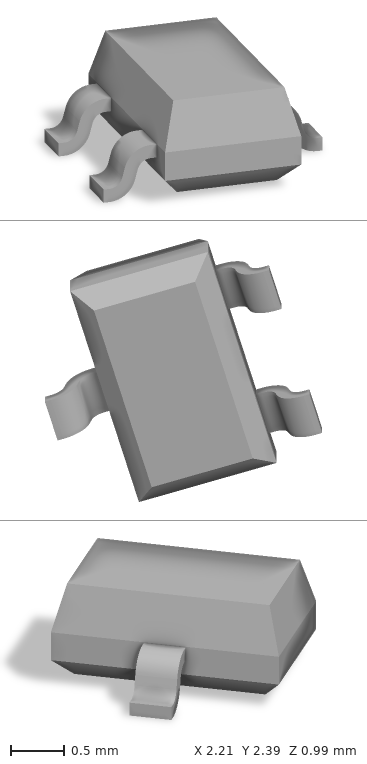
import cadquery as cq
import math

total_length = 2.39
total_height = 0.99

body_width = 2.21
body_depth = 1.348
body_bottom = 0.048
belt_bottom = 0.244
belt_top = 0.528
top_inset = 0.125
bottom_inset = 0.18

lead_width = 0.406
lead_thickness = 0.131
lead_top = 0.52
lead_spacing = 1.3
inner_radius = 0.131
outer_radius = inner_radius + lead_thickness
bend_angle = math.radians(75)
lead_reach = (total_length - body_depth) / 2

marker_diameter = 0.11
marker_depth = 0.025
marker_x = -lead_spacing / 2
marker_y = -0.392


def tapered_block(width_0, depth_0, z_0, width_1, depth_1, z_1):
    """Block lofted between two centred rectangles at heights z_0 and z_1."""
    return (
        cq.Workplane("XY")
        .workplane(offset=z_0)
        .rect(width_0, depth_0)
        .workplane(offset=z_1 - z_0)
        .rect(width_1, depth_1)
        .loft(ruled=True)
    )


def make_marker():
    return (
        cq.Workplane("XY")
        .workplane(offset=total_height - marker_depth)
        .center(marker_x, marker_y)
        .circle(marker_diameter / 2)
        .extrude(marker_depth)
    )


def make_housing(marker):
    """Housing with a straight belt, tapered top and bottom, and marker recess."""
    lower = tapered_block(
        body_width - 2 * bottom_inset, body_depth - 2 * bottom_inset, body_bottom,
        body_width, body_depth, belt_bottom,
    )
    belt = tapered_block(
        body_width, body_depth, belt_bottom,
        body_width, body_depth, belt_top,
    )
    upper = tapered_block(
        body_width, body_depth, belt_top,
        body_width - 2 * top_inset, body_depth - 2 * top_inset, total_height,
    )
    return lower.union(belt).union(upper).cut(marker)


def bend_point(center, radius, angle):
    """Point on a bend; the angle is measured from +Z towards the lead's toe."""
    return (
        center[0] + radius * math.sin(angle),
        center[1] + radius * math.cos(angle),
    )


def make_lead(x, toward):
    """S-shaped lead at x, leaving the -Y face (toward = -1) or the +Y face (+1)."""
    bend_sum = inner_radius + outer_radius
    drop = lead_top - lead_thickness
    web_drop = drop - bend_sum * (1 - math.cos(bend_angle))
    web_run = web_drop / math.tan(bend_angle)
    flat = (lead_reach - bend_sum * math.sin(bend_angle) - web_run) / 2

    shoulder = (flat, lead_top - outer_radius)
    heel = (lead_reach - flat, outer_radius)
    down = math.pi

    points = {
        "shoulder_outer_mid": bend_point(shoulder, outer_radius, bend_angle / 2),
        "shoulder_outer_end": bend_point(shoulder, outer_radius, bend_angle),
        "shoulder_inner_mid": bend_point(shoulder, inner_radius, bend_angle / 2),
        "shoulder_inner_end": bend_point(shoulder, inner_radius, bend_angle),
        "heel_inner_start": bend_point(heel, inner_radius, down + bend_angle),
        "heel_inner_mid": bend_point(heel, inner_radius, down + bend_angle / 2),
        "heel_outer_start": bend_point(heel, outer_radius, down + bend_angle),
        "heel_outer_mid": bend_point(heel, outer_radius, down + bend_angle / 2),
    }

    face_plane = cq.Plane(
        origin=(x, toward * body_depth / 2, 0),
        xDir=(0, toward, 0),
        normal=(toward, 0, 0),
    )
    return (
        cq.Workplane(face_plane)
        .moveTo(0, lead_top)
        .lineTo(flat, lead_top)
        .threePointArc(points["shoulder_outer_mid"], points["shoulder_outer_end"])
        .lineTo(*points["heel_inner_start"])
        .threePointArc(points["heel_inner_mid"], (heel[0], lead_thickness))
        .lineTo(lead_reach, lead_thickness)
        .lineTo(lead_reach, 0)
        .lineTo(heel[0], 0)
        .threePointArc(points["heel_outer_mid"], points["heel_outer_start"])
        .lineTo(*points["shoulder_inner_end"])
        .threePointArc(points["shoulder_inner_mid"], (flat, lead_top - lead_thickness))
        .lineTo(0, lead_top - lead_thickness)
        .close()
        .extrude(lead_width / 2, both=True)
    )


marker = make_marker()
housing = make_housing(marker)

lead_places = [(-lead_spacing / 2, -1), (lead_spacing / 2, -1), (0, 1)]
leads = [make_lead(x, toward) for x, toward in lead_places]

result = cq.Compound.makeCompound(
    [housing.solids().val(), marker.val(), *[lead.solids().val() for lead in leads]]
)